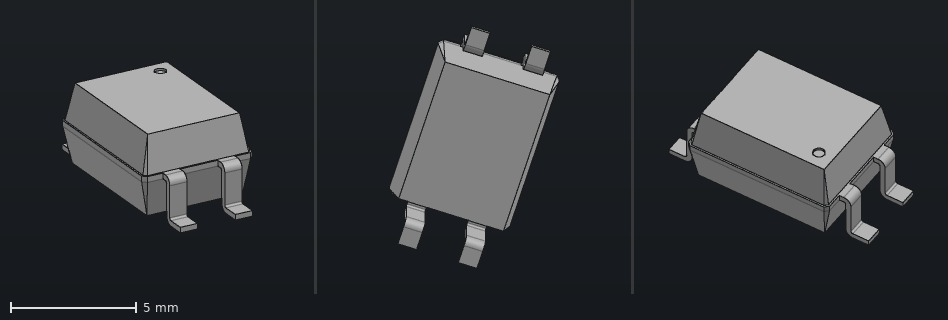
import cadquery as cq

total_length = 9.5
total_height = 3.73
standoff = 0.2

flange_length = 6.7
flange_width = 5.1
flange_corner = 0.17
upper_step = 0.08
upper_corner = 0.13
body_taper = 0.347

lead_thickness = 0.254
lead_width = 0.8
lead_pitch = 2.54
lead_reach = 0.845
inner_bend = 0.09

dimple_diameter = 0.5
dimple_depth = 0.1
dimple_inset = 0.69

parting_z = (standoff + total_height) / 2
flange_bottom = parting_z - lead_thickness / 2
flange_top = parting_z + lead_thickness / 2
upper_length = flange_length - 2 * upper_step
upper_width = flange_width - 2 * upper_step
top_length = upper_length - 2 * body_taper
top_width = upper_width - 2 * body_taper
outer_bend = inner_bend + lead_thickness


def polygon_face(points):
    return cq.Face.makeFromWires(cq.Wire.makePolygon(points, close=True))


def make_flange():
    flange = cq.Workplane("XY").workplane(offset=flange_bottom)
    flange = flange.rect(flange_length, flange_width).extrude(lead_thickness)
    return flange.edges("|Z").chamfer(flange_corner)


def make_body_half(length, width, corner, base_z, end_z):
    """Taper from a corner-cut rectangle at base_z to a plain rectangle at end_z.

    Each cut corner narrows to a triangular facet that ends at a sharp end corner.
    """
    base_x = length / 2
    base_y = width / 2
    end_x = base_x - body_taper
    end_y = base_y - body_taper
    base = []
    end = []
    for side_x, side_y in [(1, 1), (-1, 1), (-1, -1), (1, -1)]:
        on_x_side = cq.Vector(side_x * base_x, side_y * (base_y - corner), base_z)
        on_y_side = cq.Vector(side_x * (base_x - corner), side_y * base_y, base_z)
        if side_x == side_y:
            base += [on_x_side, on_y_side]
        else:
            base += [on_y_side, on_x_side]
        end.append(cq.Vector(side_x * end_x, side_y * end_y, end_z))

    faces = [polygon_face(base), polygon_face(end)]
    for i in range(len(end)):
        following = (i + 1) % len(end)
        facet_start = base[2 * i]
        facet_end = base[2 * i + 1]
        next_facet_start = base[2 * following]
        faces.append(polygon_face([facet_start, facet_end, end[i]]))
        faces.append(polygon_face([facet_end, next_facet_start, end[following], end[i]]))
    return cq.Workplane(cq.Solid.makeSolid(cq.Shell.makeShell(faces)))


def make_lead(center_y):
    """One lead on the +X side: shoulder, vertical leg and foot."""
    tip_x = total_length / 2
    leg_outer_x = tip_x - lead_reach
    leg_inner_x = leg_outer_x - lead_thickness
    root_x = upper_length / 2
    shoulder_end_x = leg_inner_x - inner_bend
    foot_start_x = leg_outer_x + inner_bend
    return (
        cq.Workplane("XZ", origin=(0, center_y, 0))
        .moveTo(root_x, flange_top)
        .lineTo(shoulder_end_x, flange_top)
        .radiusArc((leg_outer_x, flange_top - outer_bend), outer_bend)
        .lineTo(leg_outer_x, lead_thickness + inner_bend)
        .radiusArc((foot_start_x, lead_thickness), -inner_bend)
        .lineTo(tip_x, lead_thickness)
        .lineTo(tip_x, 0)
        .lineTo(foot_start_x, 0)
        .radiusArc((leg_inner_x, outer_bend), outer_bend)
        .lineTo(leg_inner_x, flange_bottom - inner_bend)
        .radiusArc((shoulder_end_x, flange_bottom), -inner_bend)
        .lineTo(root_x, flange_bottom)
        .close()
        .extrude(lead_width / 2, both=True)
    )


def make_dimple():
    center_x = dimple_inset - top_length / 2
    center_y = top_width / 2 - dimple_inset
    dimple = cq.Workplane("XY", origin=(center_x, center_y, total_height))
    return dimple.circle(dimple_diameter / 2).extrude(-dimple_depth)


lower_half = make_body_half(flange_length, flange_width, flange_corner, flange_bottom, standoff)
upper_half = make_body_half(upper_length, upper_width, upper_corner, flange_top, total_height)
result = make_flange().union(lower_half).union(upper_half).cut(make_dimple())

for lead_y in (-lead_pitch / 2, lead_pitch / 2):
    lead = make_lead(lead_y)
    result = result.union(lead).union(lead.mirror("YZ"))